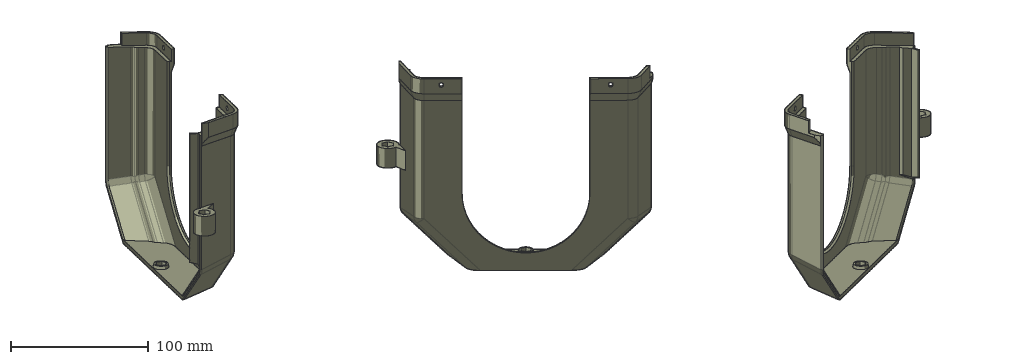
import cadquery as cq
import math

TOTAL_HEIGHT = 151.5
BODY_HEIGHT = 142.0
BODY_DEPTH = 33.2
PLATE = 3.0
WALL_LEAN = 20.0
REACH = 299.8

RIM_HALF_WIDTH = 91.0
RIM_DEPTH = 1.4
CORNER_Z = 33.8
INNER_CORNER_Z = 34.4
CORNER_TURN = 45.0
CORNER_ROUND = 7.0
BACK_ROUND = 8.0

INNER_HALF_WIDTH = 88.3
STEP_IN = 1.5
STEP_START = 16.2
STEP_END = 21.0
LIP_HALF_WIDTH = 90.0
LIP_BEVEL_DEPTH = 0.8

SLOT_RADIUS = 46.2
SLOT_CENTRE_Z = 60.0
SLOT_BEVEL_WIDTH = 1.2
SLOT_BEVEL_DEPTH = 1.5

COLLAR = 2.5
COLLAR_HALF_WIDTH = 92.0
COLLAR_BASE_Z = 140.0
COLLAR_TAPER_HEIGHT = 6.4
COLLAR_LEFT_FRONT = 11.4
COLLAR_TIP_ROUND = 0.8
SCREW_HOLE_X = 61.4
SCREW_HOLE_DIAMETER = 3.4

EYE_X = 100.0
EYE_Y = -0.2
EYE_RADIUS = 8.0
EYE_BASE_Z = 70.0
EYE_HEIGHT = 15.4
EYE_HOLE_DIAMETER = 4.8
EYE_HEX_FLATS = 8.0
EYE_HEX_DEPTH = 6.0
WEB_TOP_Y = 12.2

BOSS_Y = 6.4
BOSS_RADIUS = 5.8
BOSS_TOP_RADIUS = 5.2
BOSS_HEIGHT = 2.4
BOSS_HOLE_DIAMETER = 4.0
BOSS_HEX_FLATS = 7.2
BOSS_HEX_DEPTH = 3.0

SEAL_SECTION = [
    (87.5, 9.8),
    (84.5, 9.8),
    (84.0, 6.8),
    (85.5, 0.5),
    (84.0, -5.2),
    (85.3, -5.8),
    (87.0, 0.0),
    (89.0, 0.5),
]
SEAL_END_X = 84.3
SEAL_END_Z = 42.2

LEAN = math.radians(WALL_LEAN)
SLOPE = math.tan(LEAN)
OUTER_HALF_WIDTH = RIM_HALF_WIDTH + RIM_DEPTH * SLOPE


def mirrored(solid):
    return solid.mirror("YZ")


def wall_x(half_width, y):
    """X of a leaning left-hand wall face at depth y."""
    return -half_width + SLOPE * y


def round_into_back(sketch, half_width, back, radius):
    """Run a left wall face up to the back face with a tangent rounding."""
    setback = radius * math.tan((math.pi / 2 - LEAN) / 2)
    corner = wall_x(half_width, back)
    wall_end = (corner - setback * math.sin(LEAN), back - setback * math.cos(LEAN))
    return sketch.lineTo(*wall_end).tangentArcPoint((corner + setback, back), relative=False)


def outer_section():
    """Outside of the left arm: upright rim, leaning face, rounded back."""
    sketch = cq.Workplane("XY").moveTo(REACH, 0).lineTo(-RIM_HALF_WIDTH, 0)
    sketch = sketch.lineTo(-RIM_HALF_WIDTH, RIM_DEPTH)
    sketch = round_into_back(sketch, OUTER_HALF_WIDTH, BODY_DEPTH, BACK_ROUND)
    return sketch.lineTo(REACH, BODY_DEPTH).close()


def inner_section():
    """Inside of the left arm: front bevel, leaning face with an S-shaped step, rounded back."""
    step_half_width = INNER_HALF_WIDTH - STEP_IN
    step_from = (wall_x(INNER_HALF_WIDTH, STEP_START), STEP_START)
    step_to = (wall_x(step_half_width, STEP_END), STEP_END)
    step_middle = ((step_from[0] + step_to[0]) / 2, (STEP_START + STEP_END) / 2)
    back = BODY_DEPTH - PLATE
    sketch = cq.Workplane("XY").moveTo(REACH, 0).lineTo(-LIP_HALF_WIDTH, 0)
    sketch = sketch.lineTo(wall_x(INNER_HALF_WIDTH, LIP_BEVEL_DEPTH), LIP_BEVEL_DEPTH)
    sketch = sketch.lineTo(*step_from)
    sketch = sketch.tangentArcPoint(step_middle, relative=False)
    sketch = sketch.tangentArcPoint(step_to, relative=False)
    sketch = round_into_back(sketch, step_half_width, back, BACK_ROUND)
    return sketch.lineTo(REACH, back).close()


def bend_edges(solid, corner_z):
    """Edges where the arms turn into the 45 degree walls."""
    bend_slope = math.tan(math.radians(CORNER_TURN / 2))
    tolerance = 0.02

    def on_bend(point):
        bend_z = corner_z + bend_slope * (RIM_HALF_WIDTH - abs(point.x))
        return abs(point.z - bend_z) < tolerance

    return [edge for edge in solid.edges().vals() if on_bend(edge.startPoint()) and on_bend(edge.endPoint())]


def bounded_by_walls(section, corner_z, floor_z, top_z):
    """Space bounded by the two arms, the two 45 degree walls and a floor, with rounded bends."""
    arm = section.extrude(2 * REACH).translate((0, 0, -REACH))
    pivot = (-RIM_HALF_WIDTH, 0, corner_z)
    pivot_end = (-RIM_HALF_WIDTH, 1, corner_z)
    slanted = arm.rotate(pivot, pivot_end, -CORNER_TURN)
    left = arm.intersect(slanted)
    height = top_z - floor_z
    slab = cq.Workplane("XY").box(2 * REACH, 2 * REACH, height).translate((0, 0, floor_z + height / 2))
    space = left.intersect(mirrored(left)).intersect(slab)
    return space.newObject(bend_edges(space, corner_z)).fillet(CORNER_ROUND)


def block(x_from, x_to, y_from, y_to, z_from, z_to):
    box = cq.Workplane("XY").box(x_to - x_from, y_to - y_from, z_to - z_from, centered=False)
    return box.translate((x_from, y_from, z_from))


def make_shell():
    shell = bounded_by_walls(outer_section(), CORNER_Z, 0, BODY_HEIGHT)
    return shell.cut(bounded_by_walls(inner_section(), INNER_CORNER_Z, PLATE, BODY_HEIGHT + 2))


def cut_slot(shell):
    """U-shaped opening in the back plate with a bevel on its front edge."""
    slot_top = TOTAL_HEIGHT + 2
    slot = (
        cq.Workplane("XZ")
        .moveTo(-SLOT_RADIUS, slot_top)
        .lineTo(-SLOT_RADIUS, SLOT_CENTRE_Z)
        .threePointArc((0, SLOT_CENTRE_Z - SLOT_RADIUS), (SLOT_RADIUS, SLOT_CENTRE_Z))
        .lineTo(SLOT_RADIUS, slot_top)
        .close()
        .extrude(-REACH)
    )
    slotted = shell.cut(slot)
    plate_front = BODY_DEPTH - PLATE
    margin = 0.2
    slot_edges = cq.selectors.BoxSelector(
        (-SLOT_RADIUS - margin, plate_front - margin, PLATE + margin),
        (SLOT_RADIUS + margin, plate_front + margin, BODY_HEIGHT - margin),
    )
    return slotted.edges(slot_edges).chamfer(SLOT_BEVEL_DEPTH, SLOT_BEVEL_WIDTH)


def collar_section():
    """Outside of the left arm enlarged by the collar thickness."""
    half_width = OUTER_HALF_WIDTH + COLLAR / math.cos(LEAN)
    back = BODY_DEPTH + COLLAR
    front = -BODY_DEPTH
    sketch = cq.Workplane("XY", origin=(0, 0, COLLAR_BASE_Z)).moveTo(REACH, front)
    sketch = sketch.lineTo(wall_x(half_width, front), front)
    sketch = round_into_back(sketch, half_width, back, BACK_ROUND + COLLAR)
    return sketch.lineTo(REACH, back).close()


def make_collar():
    """Raised band around the outside of both arm tops, tapering into the arms below."""
    taper = math.degrees(math.atan(COLLAR / COLLAR_TAPER_HEIGHT))
    band = collar_section().extrude(TOTAL_HEIGHT - COLLAR_BASE_Z)
    skirt = collar_section().extrude(-COLLAR_TAPER_HEIGHT, taper=taper)
    left = band.union(skirt).cut(outer_section().extrude(REACH))
    left = left.intersect(block(-COLLAR_HALF_WIDTH, -SLOT_RADIUS, RIM_DEPTH, REACH, 0, REACH))
    left = left.edges("|Z and >X and >Y").fillet(COLLAR_TIP_ROUND)
    right = mirrored(left)
    left = left.cut(block(-REACH, 0, 0, COLLAR_LEFT_FRONT, BODY_HEIGHT, REACH))
    return left.union(right)


def screw_holes():
    hole_z = (BODY_HEIGHT + TOTAL_HEIGHT) / 2
    places = [(-SCREW_HOLE_X, hole_z), (SCREW_HOLE_X, hole_z)]
    return cq.Workplane("XZ").pushPoints(places).circle(SCREW_HOLE_DIAMETER / 2).extrude(-REACH)


def hexagon(x, y, z, flats):
    """Hexagon with two corners on the Y direction."""
    return cq.Workplane("XY", origin=(x, y, z)).transformed(rotate=(0, 0, 90)).polygon(
        6, flats / math.cos(math.pi / 6)
    )


def add_hinge_eye(part):
    eye = cq.Workplane("XY", origin=(EYE_X, EYE_Y, EYE_BASE_Z)).circle(EYE_RADIUS).extrude(EYE_HEIGHT)
    web_root_x = -wall_x(OUTER_HALF_WIDTH, WEB_TOP_Y)
    web = (
        cq.Workplane("XY", origin=(0, 0, EYE_BASE_Z))
        .polyline(
            [
                (web_root_x, WEB_TOP_Y),
                (web_root_x + WEB_TOP_Y - EYE_Y, EYE_Y),
                (EYE_X, EYE_Y),
                (EYE_X - EYE_RADIUS, 0),
                (RIM_HALF_WIDTH, 0),
                (RIM_HALF_WIDTH, RIM_DEPTH),
            ]
        )
        .close()
        .extrude(EYE_HEIGHT)
    )
    hole = (
        cq.Workplane("XY", origin=(EYE_X, EYE_Y, EYE_BASE_Z)).circle(EYE_HOLE_DIAMETER / 2).extrude(EYE_HEIGHT)
    )
    nut_z = EYE_BASE_Z + EYE_HEIGHT - EYE_HEX_DEPTH
    nut = hexagon(EYE_X, EYE_Y, nut_z, EYE_HEX_FLATS).extrude(EYE_HEX_DEPTH)
    return part.union(web).union(eye).cut(hole).cut(nut)


def add_floor_boss(part):
    """Conical boss on the floor with a hexagonal nut pocket over a through hole."""
    taper = math.degrees(math.atan((BOSS_RADIUS - BOSS_TOP_RADIUS) / BOSS_HEIGHT))
    boss = cq.Workplane("XY", origin=(0, BOSS_Y, PLATE)).circle(BOSS_RADIUS).extrude(BOSS_HEIGHT, taper=taper)
    boss_top = PLATE + BOSS_HEIGHT
    hole = cq.Workplane("XY", origin=(0, BOSS_Y, 0)).circle(BOSS_HOLE_DIAMETER / 2).extrude(boss_top)
    nut = hexagon(0, BOSS_Y, boss_top - BOSS_HEX_DEPTH, BOSS_HEX_FLATS).extrude(BOSS_HEX_DEPTH)
    return part.union(boss).cut(hole).cut(nut)


def make_seal():
    strip = cq.Workplane("XY").polyline(SEAL_SECTION).close().extrude(BODY_HEIGHT)
    below_end = (
        cq.Workplane("XZ", origin=(SEAL_END_X, 0, SEAL_END_Z))
        .polyline([(-SEAL_END_Z, SEAL_END_Z), (SEAL_END_Z, -SEAL_END_Z), (-SEAL_END_Z, -SEAL_END_Z)])
        .close()
        .extrude(REACH, both=True)
    )
    return strip.cut(below_end)


body = cut_slot(make_shell())
body = body.union(make_collar()).union(make_seal())
body = body.cut(screw_holes())
body = add_hinge_eye(body)
result = add_floor_boss(body)